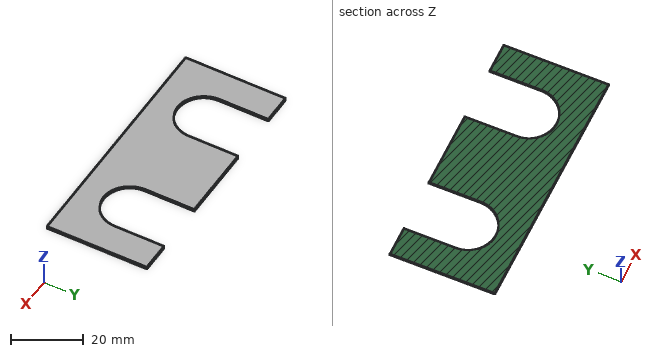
import cadquery as cq

length = 76.2
width = 31.8
thickness = 0.8

slot_width = 16.6
slot_spacing = 40.7
web_below_slot = 7.8

slot_radius = slot_width / 2
back_edge = width / 2
slot_center_y = -width / 2 + web_below_slot + slot_radius


def open_slot(center_x):
    """Cutter with straight sides from the +Y edge and a half-round bottom."""
    left = center_x - slot_radius
    right = center_x + slot_radius
    return (
        cq.Workplane("XY")
        .moveTo(left, back_edge)
        .lineTo(left, slot_center_y)
        .threePointArc((center_x, slot_center_y - slot_radius), (right, slot_center_y))
        .lineTo(right, back_edge)
        .close()
        .extrude(thickness)
    )


result = cq.Workplane("XY").box(length, width, thickness, centered=(True, True, False))
for side in (-1, 1):
    result = result.cut(open_slot(side * slot_spacing / 2))